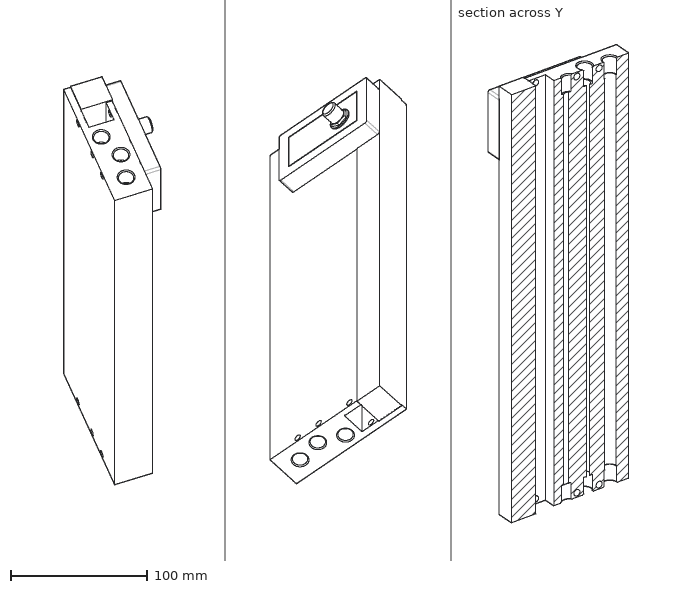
import cadquery as cq

total_length = 363.0
body_width = 106.7
body_depth = 29.8
total_depth = 58.5

strip_width = 22.0
strip_front = 5.5
strip_overhang = 1.2
strip_back_overhang = 0.5
body_length = total_length - 2 * strip_overhang

channel_width = 16.5
channel_depth = 19.5

ports = [(49.7, 11.0, 8.7), (69.7, 19.0, 8.7), (90.0, 15.2, 10.0)]
counterbore_diameter = 11.3
countersink_diameter = 13.0
counterbore_depth = 14.5
countersink_depth = (countersink_diameter - counterbore_diameter) / 2
countersink_angle = 45

mount_hole_x = [29.8, 59.5, 80.0]
mount_hole_diameter = 5.0
mount_hole_end_distance = 4.0
mount_hole_z = body_length / 2 - mount_hole_end_distance

housing_left = 0.5
housing_width = 85.0
housing_height = 53.5
housing_depth = 14.5
housing_corner_radius = 1.8
housing_center_z = 144.5
housing_back = body_depth + housing_depth

cover_inset = 9.5
cover_thickness = 0.5

connector_x = 25.8
connector_z = 141.2
flange_diameter = 17.5
flange_thickness = 1.0
hex_across_corners = 15.2
hex_thickness = 2.0
plug_diameter = 12.5
plug_chamfer = 1.0


def y_plane(x, y, z):
    """Workplane at the given point, facing the back (+Y), with its local Y along Z."""
    return cq.Workplane(cq.Plane(origin=(x, y, z), xDir=(-1, 0, 0), normal=(0, 1, 0)))


def make_body():
    body = cq.Workplane("XY").box(body_width, body_depth, body_length, centered=(False, False, True))
    strip_depth = body_depth + strip_back_overhang - strip_front
    strip = (
        cq.Workplane("XY")
        .box(strip_width, strip_depth, total_length, centered=(False, False, True))
        .translate((0, strip_front, 0))
    )
    channel = (
        cq.Workplane("XY")
        .box(channel_width, channel_depth, total_length, centered=(False, False, True))
        .translate((strip_width, strip_front, 0))
    )
    return body.union(strip).cut(channel)


def cut_ports(body):
    for x, y, bore_diameter in ports:
        bore = (
            cq.Workplane("XY", origin=(x, y, 0))
            .circle(bore_diameter / 2)
            .extrude(body_length / 2, both=True)
        )
        body = body.cut(bore)
        for end in (-1, 1):
            counterbore = (
                cq.Workplane("XY", origin=(x, y, end * body_length / 2))
                .circle(counterbore_diameter / 2)
                .extrude(-end * counterbore_depth)
            )
            countersink = (
                counterbore.faces(">Z" if end > 0 else "<Z")
                .workplane()
                .circle(countersink_diameter / 2)
                .extrude(-countersink_depth, taper=countersink_angle, combine=False)
            )
            body = body.cut(counterbore).cut(countersink)
    return body


def cut_mounting_holes(body):
    for x in mount_hole_x:
        for z in (-mount_hole_z, mount_hole_z):
            body = body.cut(y_plane(x, 0, z).circle(mount_hole_diameter / 2).extrude(body_depth))
    return body


def make_housing():
    center_x = housing_left + housing_width / 2
    housing = (
        y_plane(center_x, body_depth, housing_center_z)
        .rect(housing_width, housing_height)
        .extrude(housing_depth)
        .edges("|Y")
        .fillet(housing_corner_radius)
    )
    cover = (
        y_plane(center_x, housing_back, housing_center_z)
        .rect(housing_width - 2 * cover_inset, housing_height - 2 * cover_inset)
        .extrude(cover_thickness)
    )
    return housing.union(cover)


def make_connector():
    flange_base = housing_back + cover_thickness
    hex_base = flange_base + flange_thickness
    plug_base = hex_base + hex_thickness
    flange = (
        y_plane(connector_x, flange_base, connector_z)
        .circle(flange_diameter / 2)
        .extrude(flange_thickness)
    )
    hexagon = (
        y_plane(connector_x, hex_base, connector_z)
        .transformed(rotate=(0, 0, 90))
        .polygon(6, hex_across_corners)
        .extrude(hex_thickness)
    )
    plug = (
        y_plane(connector_x, plug_base, connector_z)
        .circle(plug_diameter / 2)
        .extrude(total_depth - plug_base)
        .faces(">Y")
        .chamfer(plug_chamfer)
    )
    return flange.union(hexagon).union(plug)


body = cut_mounting_holes(cut_ports(make_body()))
result = body.union(make_housing()).union(make_connector())